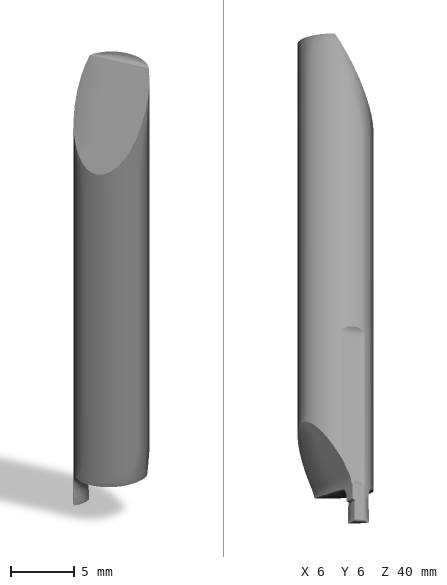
import cadquery as cq
import math

LENGTH = 40.0
RADIUS = 3.0
MARGIN = 4.0
REACH = RADIUS + MARGIN

BEVEL_ANGLE = 60.0
BEVEL_SLOPE = math.tan(math.radians(BEVEL_ANGLE))
BEVEL_TOP_Y = 1.55
RELIEF_START_Z = 8.4
RELIEF_BLEND = 2.0

FLAT_HALF_WIDTH = 1.05
FLAT_X = -math.sqrt(RADIUS**2 - FLAT_HALF_WIDTH**2)
FLAT_BOTTOM_Z = 3.1
FLAT_RUNOUT_Z = 15.5
FLAT_RUNOUT_RADIUS = 0.7

SHOULDER_Z = 3.1
SHOULDER_RISE_X = 0.08
SHOULDER_RISE_Y = 0.09
NECK_X = -2.05
NECK_BACK_Y = -1.5
NECK_FRONT_Y = 0.15
NECK_STEP_HEIGHT = 0.3
NECK_FILLET = 0.9
FLANK_START_X = -math.sqrt(RADIUS**2 - NECK_FRONT_Y**2)
FLANK_END_Y = -0.95
FLANK_END_X = -math.sqrt(RADIUS**2 - FLANK_END_Y**2)

NECK_BACK_X = -math.sqrt(RADIUS**2 - NECK_BACK_Y**2)
NECK_CHORD_WIDTH = NECK_X - NECK_BACK_X
NECK_RADIUS = (NECK_CHORD_WIDTH**2 + NECK_BACK_Y**2) / (2 * NECK_CHORD_WIDTH)
INNER_AXIS_X = NECK_X - NECK_RADIUS

TIP_TOP_Z = 1.65
TIP_WIDE_Z = 0.9
TIP_OVERHANG = 0.1
TIP_RADIUS = NECK_RADIUS + TIP_OVERHANG
TIP_END_Y = -1.7
TIP_END_RISE = 0.2
TIP_CORNER = 0.15


def bar():
    """Full round bar."""
    return cq.Workplane("XY").circle(RADIUS).extrude(LENGTH)


def prism_along_x(profile):
    return profile.close().extrude(REACH, both=True)


def upper_bevel():
    drop = (BEVEL_TOP_Y + REACH) * BEVEL_SLOPE
    return prism_along_x(
        cq.Workplane("YZ").moveTo(BEVEL_TOP_Y, LENGTH)
        .lineTo(-REACH, LENGTH - drop)
        .lineTo(-REACH, LENGTH)
    )


def lower_relief():
    """Clears the +Y side: a bevel blending into the upright front of the neck."""
    corner_z = RELIEF_START_Z - (RADIUS - NECK_FRONT_Y) * BEVEL_SLOPE
    tangent = RELIEF_BLEND * math.tan(math.radians(90 - BEVEL_ANGLE) / 2)
    blend_y = NECK_FRONT_Y + tangent * math.cos(math.radians(BEVEL_ANGLE))
    blend_z = corner_z + tangent * math.sin(math.radians(BEVEL_ANGLE))
    return prism_along_x(
        cq.Workplane("YZ").moveTo(NECK_FRONT_Y, -MARGIN)
        .lineTo(NECK_FRONT_Y, corner_z - tangent)
        .radiusArc((blend_y, blend_z), RELIEF_BLEND)
        .lineTo(REACH, RELIEF_START_Z + MARGIN * BEVEL_SLOPE)
        .lineTo(REACH, -MARGIN)
    )


def side_flat():
    """Flat on the -X side, running out along an arc at its upper end."""
    depth = RADIUS + FLAT_X
    runout = math.sqrt(FLAT_RUNOUT_RADIUS**2 - (FLAT_RUNOUT_RADIUS - depth) ** 2)
    return (
        cq.Workplane("XZ").moveTo(FLAT_X, FLAT_BOTTOM_Z)
        .lineTo(FLAT_X, FLAT_RUNOUT_Z)
        .radiusArc((-RADIUS, FLAT_RUNOUT_Z + runout), -FLAT_RUNOUT_RADIUS)
        .lineTo(-RADIUS, FLAT_BOTTOM_Z)
        .close().extrude(REACH, both=True)
    )


def flank_relief():
    """Clearance plane on the -X side of the neck and the tip."""
    return (
        cq.Workplane("XY")
        .polyline([
            (-RADIUS, NECK_FRONT_Y), (FLANK_START_X, NECK_FRONT_Y),
            (FLANK_END_X, FLANK_END_Y), (-RADIUS, FLANK_END_Y),
        ])
        .close().extrude(FLAT_BOTTOM_Z)
    )


def below_shoulder():
    """Everything under the tilted shoulder except the neck."""
    plane = cq.Plane(
        origin=(0, 0, SHOULDER_Z), xDir=(1, 0, SHOULDER_RISE_X),
        normal=(-SHOULDER_RISE_X, SHOULDER_RISE_Y, 1),
    )
    space = cq.Workplane(plane).rect(2 * REACH, 2 * REACH).extrude(-REACH)
    neck = (
        cq.Workplane("XY").workplane(offset=-REACH).center(INNER_AXIS_X, 0)
        .circle(NECK_RADIUS).extrude(2 * REACH)
    )
    space = space.cut(neck)
    root = cq.selectors.BoxSelector(
        (INNER_AXIS_X - NECK_RADIUS, -NECK_RADIUS, SHOULDER_Z - NECK_RADIUS),
        (NECK_X, NECK_RADIUS, SHOULDER_Z + NECK_RADIUS),
    )
    return space.edges(root).edges(">Z").fillet(NECK_FILLET)


def make_shank():
    shank = bar().cut(upper_bevel()).cut(side_flat()).cut(flank_relief())
    shank = shank.cut(below_shoulder()).cut(lower_relief())
    tip_space = cq.Workplane("XY").rect(2 * REACH, 2 * REACH).extrude(TIP_TOP_Z)
    shank = shank.cut(tip_space)
    front_edge = shank.faces("<Z").edges(">Y")
    return front_edge.chamfer(NECK_STEP_HEIGHT, NECK_FRONT_Y)


def make_tip():
    """Cutting tip under the neck, with its rake face on the plane y = 0."""
    inner_side = (
        cq.Workplane("XZ").polyline([
            (0, 0), (TIP_RADIUS, 0), (TIP_RADIUS, TIP_WIDE_Z),
            (NECK_RADIUS, TIP_TOP_Z), (0, TIP_TOP_Z),
        ]).close().revolve(360, (0, 0, 0), (0, 1, 0))
        .translate((INNER_AXIS_X, 0, 0))
    )
    end_profile = prism_along_x(
        cq.Workplane("YZ").polyline([
            (0, 0), (0, TIP_TOP_Z), (TIP_END_Y, TIP_TOP_Z),
            (TIP_END_Y, TIP_END_RISE),
        ])
    )
    tip = bar().intersect(inner_side).intersect(end_profile).cut(flank_relief())
    corner = cq.selectors.BoxSelector(
        (-RADIUS - 0.4, FLANK_END_Y, -0.4), (FLANK_END_X, 0.4, 0.4)
    )
    return tip.edges(corner).edges("not(|X)").fillet(TIP_CORNER)


shank = make_shank()
tip = make_tip()
result = cq.Compound.makeCompound([shank.val(), tip.val()])